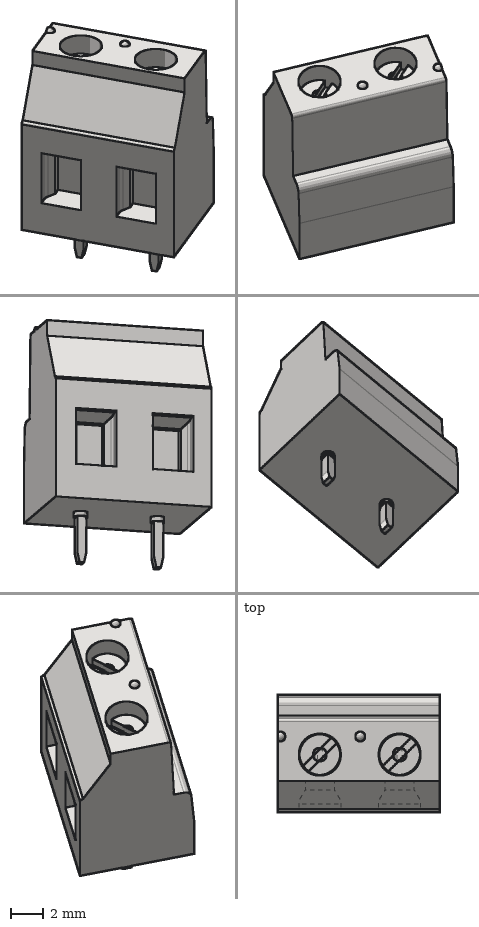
import cadquery as cq
import math


overall_height = 15.14

width = 10.02
depth = 7.28
height = 11.7
front_height = 7.52
front_round_radius = 0.45
slope_start_y = 0.2
slope_start_z = 7.7
slope_end_y = 1.95
slope_end_z = 10.7
top_back_y = 5.8
top_round = 0.2
ledge_height = 6.36
step_y = 6.0
ledge_back_y = 7.07
ledge_round = 0.48
back_bend_height = 3.33

pole_pitch = 4.94
first_pole_x = 2.6
pole_y = 3.57
pole_xs = [first_pole_x, first_pole_x + pole_pitch]

well_radius = 1.3
well_depth = 1.27
screw_head_radius = 1.25
screw_slot_width = 0.48
screw_slot_depth = 0.6
head_gap_depth = 0.75
screw_slot_angle = 45
dimple_radius = 0.42
dimple_depth = 0.06

entry_width = 2.6
entry_bottom = 2.17
entry_top = 5.72
entry_depth = 1.91
throat_width = 1.79
throat_top = 5.18
throat_y = 1.4
funnel_angle = math.radians(31.5)
funnel_round_radius = 0.75

bump_radius = 0.3
bump_height = 0.21
first_bump_x = 0.17
bump_y = 4.7

pin_side = 0.59
pin_length = overall_height - height - bump_height
pin_taper_length = 0.64
pin_tip_width = 0.3
collar_radius = 0.42
collar_height = 0.3


def make_housing():
    profile = (
        cq.Workplane("YZ")
        .moveTo(0, 0)
        .lineTo(0, front_height)
        .radiusArc((slope_start_y, slope_start_z), front_round_radius)
        .lineTo(slope_end_y, slope_end_z)
        .lineTo(slope_end_y, height)
        .lineTo(top_back_y, height)
        .lineTo(step_y, ledge_height)
        .lineTo(ledge_back_y, ledge_height)
        .lineTo(depth, back_bend_height)
        .lineTo(depth, 0)
        .close()
    )
    housing = profile.extrude(width)
    top_edge_point = (width / 2, top_back_y, height)
    ledge_edge_point = (width / 2, ledge_back_y, ledge_height)
    housing = housing.edges(cq.NearestToPointSelector(top_edge_point)).fillet(top_round)
    return housing.edges(cq.NearestToPointSelector(ledge_edge_point)).fillet(ledge_round)


def make_screw_well(x):
    """Round well leaving a slotted screw head standing, with a narrow gap around it."""
    head_z = height - well_depth
    head_plane = cq.Workplane("XY", origin=(x, pole_y, head_z))
    well = head_plane.circle(well_radius).extrude(well_depth)
    gap = head_plane.circle(well_radius).circle(screw_head_radius).extrude(-head_gap_depth)
    slot = make_screw_slot(head_plane, well_radius, screw_slot_depth)
    dimple = head_plane.circle(dimple_radius).extrude(-dimple_depth)
    slot_dimple = make_screw_slot(head_plane, dimple_radius, screw_slot_depth + dimple_depth)
    return well.union(gap).union(slot).union(dimple).union(slot_dimple)


def make_screw_slot(head_plane, end_radius, slot_depth):
    """Diagonal slot whose round ends lie on a circle about the screw axis."""
    bar = (
        head_plane.transformed(rotate=(0, 0, screw_slot_angle))
        .rect(2 * end_radius, screw_slot_width)
        .extrude(-slot_depth)
    )
    return bar.intersect(head_plane.circle(end_radius).extrude(-slot_depth))


def make_wire_entry(x):
    """Funnel with rounded side walls, a sloping roof and a flat floor."""
    half_entry = entry_width / 2
    half_throat = throat_width / 2
    round_inset = funnel_round_radius * (1 - math.cos(funnel_angle))
    round_length = funnel_round_radius * math.sin(funnel_angle)
    half_round_end = half_entry - round_inset
    round_end_y = throat_y - (half_round_end - half_throat) / math.tan(funnel_angle)
    round_start_y = round_end_y - round_length
    plan = (
        cq.Workplane("XY", origin=(x, 0, entry_bottom))
        .moveTo(-half_entry, 0)
        .lineTo(half_entry, 0)
        .lineTo(half_entry, round_start_y)
        .radiusArc((half_round_end, round_end_y), -funnel_round_radius)
        .lineTo(half_throat, throat_y)
        .lineTo(half_throat, entry_depth)
        .lineTo(-half_throat, entry_depth)
        .lineTo(-half_throat, throat_y)
        .lineTo(-half_round_end, round_end_y)
        .radiusArc((-half_entry, round_start_y), -funnel_round_radius)
        .close()
        .extrude(entry_top - entry_bottom)
    )
    roof_start_y = throat_y - (entry_top - throat_top) / math.tan(funnel_angle)
    side = (
        cq.Workplane("YZ", origin=(x, 0, 0))
        .moveTo(0, entry_bottom)
        .lineTo(0, entry_top)
        .lineTo(roof_start_y, entry_top)
        .lineTo(throat_y, throat_top)
        .lineTo(entry_depth, throat_top)
        .lineTo(entry_depth, entry_bottom)
        .close()
        .extrude(half_entry, both=True)
    )
    return plan.intersect(side)


def make_pin(x):
    """Square pin with a wedge-shaped tip, hanging from a round collar."""
    collar = cq.Workplane("XY", origin=(x, pole_y, 0)).circle(collar_radius).extrude(-collar_height)
    taper_start_z = pin_taper_length - pin_length
    pin = (
        cq.Workplane("XZ", origin=(x, pole_y, 0))
        .moveTo(-pin_side / 2, 0)
        .lineTo(pin_side / 2, 0)
        .lineTo(pin_side / 2, taper_start_z)
        .lineTo(pin_tip_width / 2, -pin_length)
        .lineTo(-pin_tip_width / 2, -pin_length)
        .lineTo(-pin_side / 2, taper_start_z)
        .close()
        .extrude(pin_side / 2, both=True)
    )
    return collar.union(pin)


def make_bump(x):
    """Spherical cap on the top face, trimmed flush with the housing ends."""
    sphere_radius = (bump_radius**2 + bump_height**2) / (2 * bump_height)
    sphere_z = height + bump_height - sphere_radius
    sphere = cq.Workplane("XY", origin=(x, bump_y, sphere_z)).sphere(sphere_radius)
    space_above_top = cq.Workplane("XY", origin=(0, 0, height)).box(
        width, depth, bump_height, centered=False
    )
    return sphere.intersect(space_above_top)


result = make_housing()
for pole_x in pole_xs:
    result = result.cut(make_screw_well(pole_x))
    result = result.cut(make_wire_entry(pole_x))
    result = result.union(make_pin(pole_x))
for bump_x in (first_bump_x, first_bump_x + pole_pitch):
    result = result.union(make_bump(bump_x))